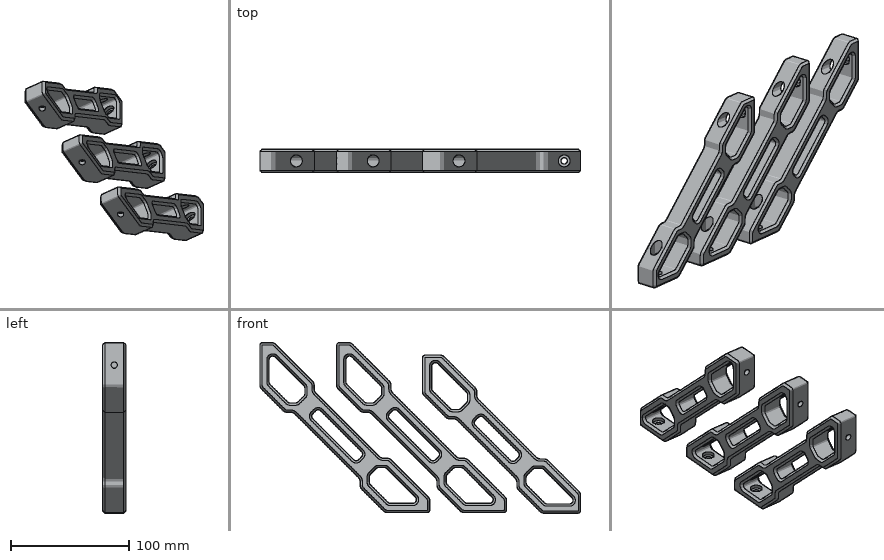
import cadquery as cq
import math

ROOT2 = math.sqrt(2)

thickness = 20.0
head_width = 25.0 * ROOT2
neck_width = 25.25
head_reach = 46.13
wall = 8.0
window_setback = 16.0
slot_width = 9.4
edge_chamfer = 2.0

tip_radius = 2.5
outline_radius = 5.0
opening_radius = 3.0

bolt_diameter = 5.2
access_diameter = 10.0
seat_depth = 3.0

long_size = 144.0
long_tip = 12.0
long_bolt_inset = 19.0
shortening = 5.0
short_size = long_size - 2 * shortening
short_tip = long_tip + shortening
short_bolt_inset = long_bolt_inset - shortening

long_count = 2
long_pitch = 65.0
total_length = 271.62
total_height = 144.54


def mirrored(points, size):
    """Matching points of the lower head, in reverse so that they run on the same way round."""
    return [(size - drop, size - x) for x, drop in reversed(points)]


def prism(points, size):
    """Extrude a profile through the thickness, centred on Y = 0."""
    profile = [(x, size - drop) for x, drop in points]
    return cq.Workplane("XZ").polyline(profile).close().extrude(thickness / 2, both=True)


def axis_drop(tip):
    """Drop of the bar's centre line at the lever's left side."""
    return head_width / ROOT2 - tip


def round_corners(body, corners, size, radius):
    """Round the edges that cross the thickness at the given profile points."""
    edges = body.edges("|Y")
    picked = []
    for x, drop in corners:
        nearest = cq.selectors.NearestToPointSelector((x, 0, size - drop))
        picked.append(edges.edges(nearest).val())
    return cq.Workplane(body.val().fillet(radius, picked))


def bar_blank(size, tip):
    """Solid bar with its two heads, before the openings are cut."""
    axis = axis_drop(tip)
    head_half = head_width / ROOT2
    neck_half = neck_width / ROOT2
    shoulder_drop = head_reach + axis
    upper_side = [
        (tip, 0),
        (head_reach, shoulder_drop - head_half),
        (head_reach, shoulder_drop - neck_half),
    ]
    lower_side = [
        (head_reach - neck_half, shoulder_drop),
        (head_reach - head_half, shoulder_drop),
        (0, axis + head_half),
    ]
    upper_outline = upper_side + mirrored(upper_side, size)
    lower_outline = mirrored(lower_side, size) + lower_side
    upper_tip = (0, 0)
    lower_tip = (size, size)
    blank = prism([upper_tip, *upper_outline, lower_tip, *lower_outline], size)
    blank = round_corners(blank, [upper_tip, lower_tip], size, tip_radius)
    return round_corners(blank, upper_outline + lower_outline, size, outline_radius)


def upper_window(tip):
    """Head outline set in by the wall, with its inner end cut square to the bar."""
    axis = axis_drop(tip)
    half = (head_width / 2 - wall) * ROOT2
    inner_reach = head_reach - wall
    inner_drop = inner_reach + axis
    end_sum = 2 * head_reach + axis - window_setback * ROOT2
    return [
        (wall, wall + axis - half),
        (inner_reach, inner_drop - half),
        (inner_reach, end_sum - inner_reach),
        (end_sum - inner_drop, inner_drop),
        (inner_reach - half, inner_drop),
        (wall, wall + axis + half),
    ]


def neck_slot(size, tip):
    """Slot along the centre line, between the crossings of the two heads' shoulder lines."""
    half_step = slot_width / 2 / ROOT2
    shoulder_drop = head_reach + axis_drop(tip)
    upper_end = [
        (head_reach - half_step, shoulder_drop + half_step),
        (head_reach + half_step, shoulder_drop - half_step),
    ]
    return upper_end + mirrored(upper_end, size)


def bolt_hole(start, direction):
    """Bolt hole through a tip wall, with the head seat and access hole in line inside it."""
    entry = cq.Vector(*start)
    axis = cq.Vector(*direction)
    shank = cq.Solid.makeCylinder(bolt_diameter / 2, wall, entry, axis)
    seat = entry + axis * (wall - seat_depth)
    access = cq.Solid.makeCylinder(access_diameter / 2, head_reach, seat, axis)
    return cq.Workplane(shank).union(cq.Workplane(access))


def lever(size, tip, bolt_inset):
    body = bar_blank(size, tip)
    window = upper_window(tip)
    for points in (window, mirrored(window, size), neck_slot(size, tip)):
        opening = prism(points, size).edges("|Y").fillet(opening_radius)
        body = body.cut(opening)
    body = body.faces("<Y or >Y").chamfer(edge_chamfer)
    body = body.cut(bolt_hole((0, 0, size - bolt_inset), (1, 0, 0)))
    return body.cut(bolt_hole((size - bolt_inset, 0, 0), (0, 0, 1)))


long_levers = []
for number in range(long_count):
    long_lever = lever(long_size, long_tip, long_bolt_inset)
    long_levers.append(long_lever.translate((number * long_pitch, 0, total_height - long_size)))

short_lever = lever(short_size, short_tip, short_bolt_inset)
short_lever = short_lever.translate((total_length - short_size, 0, 0))

bodies = [*long_levers, short_lever]
result = cq.Compound.makeCompound([body.val() for body in bodies])